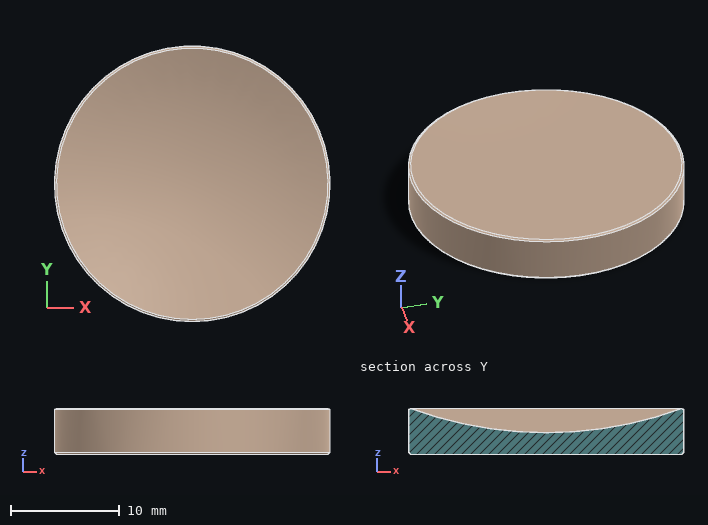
import cadquery as cq

diameter = 25.4
edge_height = 4.27
bevel = 0.2
top_bevel_height = 0.13
dish_depth = 2.24

radius = diameter / 2
rim_radius = radius - bevel

dish_radius = (rim_radius**2 + dish_depth**2) / (2 * dish_depth)
dish_centre_height = edge_height - dish_depth + dish_radius
mid_radius = rim_radius / 2
mid_height = dish_centre_height - (dish_radius**2 - mid_radius**2) ** 0.5

half_section = (
    cq.Workplane("YZ")
    .moveTo(0, 0)
    .lineTo(-rim_radius, 0)
    .lineTo(-radius, bevel)
    .lineTo(-radius, edge_height - top_bevel_height)
    .lineTo(-rim_radius, edge_height)
    .threePointArc((-mid_radius, mid_height), (0, edge_height - dish_depth))
    .close()
)

result = half_section.revolve(360, (0, 0, 0), (0, 1, 0))